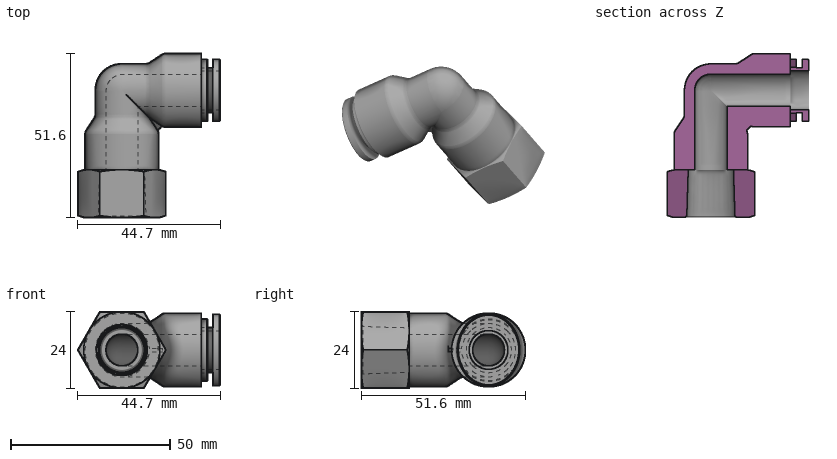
import cadquery as cq
import math

BODY_DIA = 23.2
NECK_DIA = 16.75
BORE_DIA = 10.0
LEG_LENGTH = 25.0
CONE_START = 8.25
CONE_END = 13.15
CONE_BLEND = 2.0
WEB_THICKNESS = 1.05

NUT_FLATS = 24.0
NUT_LENGTH = 15.0
NUT_CHAMFER = 0.6
THREAD_DIA = 15.0
THREAD_TAPER = 1 / 16
THREAD_CHAMFER = 0.5

COLLAR_DIA = 19.6
COLLAR_LENGTH = 2.0
COLLAR_CHAMFER = 0.25

RING_END = 30.85
RING_BORE_DIA = 12.2
SLEEVE_DIA = 14.2
FLANGE_THICKNESS = 2.2
FLANGE_WIDTH = 19.6
FLANGE_HEIGHT = 22.55
FLANGE_CHAMFER = 0.3

NUT_AXIS_TURN = -90


def cylinder_x(diameter, start, length):
    """Cylinder along +X that begins at x = start."""
    return cq.Workplane("YZ", origin=(start, 0, 0)).circle(diameter / 2).extrude(length)


def turn_to_nut_side(shape):
    return shape.rotate((0, 0, 0), (0, 0, 1), NUT_AXIS_TURN)


def make_leg():
    """Solid leg along +X: neck, blended cone and wide end, cut at the mitre plane."""
    neck_radius = NECK_DIA / 2
    body_radius = BODY_DIA / 2
    leg = (
        cq.Workplane("XY")
        .polyline([
            (0, 0),
            (0, -neck_radius),
            (CONE_START, -neck_radius),
            (CONE_END, -body_radius),
            (LEG_LENGTH, -body_radius),
            (LEG_LENGTH, 0),
        ])
        .close()
        .revolve(360, (0, 0, 0), (1, 0, 0))
    )
    cone_rims = leg.faces("%CONE").edges("%CIRCLE")
    return cone_rims.fillet(CONE_BLEND).cut(behind_mitre())


def behind_mitre():
    """Block on the nut side of the 45 degree plane through the corner."""
    reach = 2 * LEG_LENGTH
    return (
        cq.Workplane("XY", origin=(0, 0, -reach / 2))
        .polyline([(0, 0), (reach, -reach), (0, -reach)])
        .close()
        .extrude(reach)
    )


def make_web():
    """Flat plate that fills the inner corner between the two cones."""
    slope = math.atan2((BODY_DIA - NECK_DIA) / 2, CONE_END - CONE_START)
    blend_setback = CONE_BLEND * math.tan(slope / 2)
    rim_along = CONE_END - blend_setback * math.cos(slope)
    rim_radius = BODY_DIA / 2 - blend_setback * math.sin(slope)
    root = (BORE_DIA + NECK_DIA) / 4
    return (
        cq.Workplane("XY")
        .polyline([(root, -root), (rim_along, -rim_radius), (rim_radius, -rim_along)])
        .close()
        .extrude(WEB_THICKNESS / 2, both=True)
    )


def make_elbow():
    """Two mitred legs with a spherical outer corner and a bore along both axes."""
    tube_leg = make_leg()
    nut_leg = tube_leg.rotate((0, 0, 0), (1, -1, 0), 180)
    corner = cq.Workplane("XY").sphere(NECK_DIA / 2)
    bore = cylinder_x(BORE_DIA, 0, LEG_LENGTH)
    passage = bore.union(turn_to_nut_side(bore)).union(cq.Workplane("XY").sphere(BORE_DIA / 2))
    return tube_leg.union(nut_leg).union(corner).union(make_web()).cut(passage)


def make_nut():
    """Hexagon with chamfered ends and a tapered bore, built along +X and turned onto -Y."""
    corner_radius = NUT_FLATS / math.sqrt(3)
    flat_radius = NUT_FLATS / 2
    end = LEG_LENGTH + NUT_LENGTH
    hexagon = (
        cq.Workplane("YZ", origin=(LEG_LENGTH, 0, 0))
        .polygon(6, 2 * corner_radius)
        .extrude(NUT_LENGTH)
    )
    envelope = (
        cq.Workplane("XY")
        .polyline([
            (LEG_LENGTH, 0),
            (LEG_LENGTH, flat_radius),
            (LEG_LENGTH + NUT_CHAMFER, corner_radius),
            (end - NUT_CHAMFER, corner_radius),
            (end, flat_radius),
            (end, 0),
        ])
        .close()
        .revolve(360, (0, 0, 0), (1, 0, 0))
    )
    thread_radius = THREAD_DIA / 2
    inner_radius = thread_radius - NUT_LENGTH * THREAD_TAPER / 2
    chamfer_start_radius = thread_radius - THREAD_CHAMFER * THREAD_TAPER / 2
    thread = (
        cq.Workplane("XY")
        .polyline([
            (LEG_LENGTH, 0),
            (LEG_LENGTH, inner_radius),
            (end - THREAD_CHAMFER, chamfer_start_radius),
            (end, thread_radius + THREAD_CHAMFER),
            (end, 0),
        ])
        .close()
        .revolve(360, (0, 0, 0), (1, 0, 0))
    )
    return turn_to_nut_side(hexagon.intersect(envelope).cut(thread))


def make_collar():
    """Plain ring on the end of the tube leg, chamfered on its outer rim."""
    collar = cylinder_x(COLLAR_DIA, LEG_LENGTH, COLLAR_LENGTH).faces(">X").chamfer(COLLAR_CHAMFER)
    return collar.cut(cylinder_x(SLEEVE_DIA, LEG_LENGTH, COLLAR_LENGTH))


def make_release_ring():
    """Sleeve through the collar with an oval push flange."""
    length = RING_END - LEG_LENGTH
    flange = (
        cq.Workplane("YZ", origin=(RING_END - FLANGE_THICKNESS, 0, 0))
        .ellipse(FLANGE_WIDTH / 2, FLANGE_HEIGHT / 2)
        .extrude(FLANGE_THICKNESS)
        .faces(">X")
        .chamfer(FLANGE_CHAMFER)
    )
    sleeve = cylinder_x(SLEEVE_DIA, LEG_LENGTH, length)
    return flange.union(sleeve).cut(cylinder_x(RING_BORE_DIA, LEG_LENGTH, length))


elbow = make_elbow()
nut = make_nut()
collar = make_collar()
release_ring = make_release_ring()

result = cq.Compound.makeCompound([elbow.val(), nut.val(), collar.val(), release_ring.val()])